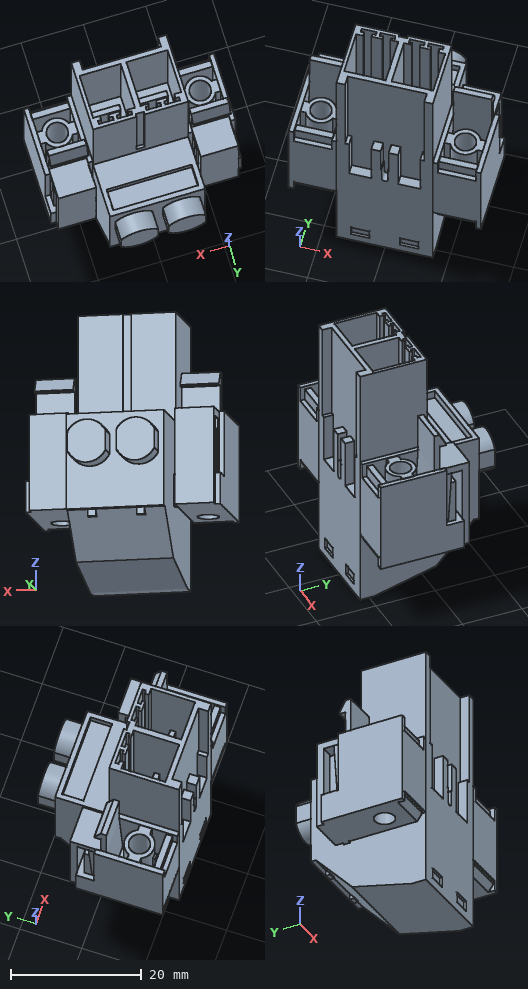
import cadquery as cq


pole_pitch = 7.63
housing_half = pole_pitch
housing_height = 41.45
plug_depth = 11.27
rear_depth = 20.0
rear_top = 24.3
rear_bottom = 9.4
shoulder_depth = 19.15
slant_depth = 12.85
slant_height = 2.6
foot_depth = 2.4

pocket_inner = 0.45
pocket_outer = 7.05
pocket_front = 2.4
pocket_back = 9.5
pocket_floor = 25.6
rib_back = 9.65
inner_back = 9.8
slot_centers = (2.32, 5.3)
slot_neck = 1.3
slot_head = 2.35
slot_head_front = 10.15
slot_head_back = 10.7
rear_notch_width = 1.33
rear_notch_depth = 0.45
rear_notch_bottom = 25.6

recess_half = 6.25
recess_depth = 1.58
recess_bottom = 25.6
coding_inner = 2.1
coding_outer = 5.65
coding_bottom = 17.82
key_width = 1.25
key_step = 20.72
key_tip_width = 1.0
window_inner = 2.4
window_outer = 5.35
window_bottom = 1.58
window_top = 3.35
window_depth = 0.4

label_half = 6.8
label_front = 15.7
label_back = 19.2
label_depth = 1.25
nub_width = 1.25
nub_front = 18.35
nub_bottom = 8.37

contact_inner = 1.55
contact_outer = 6.0
contact_front = 5.2
contact_back = 6.05
contact_height = 4.97

button_radius = 3.35
button_width = 5.95
button_back = 23.1
button_z = 19.3

overall_width = 30.45
flange_outer = overall_width / 2
flange_top = 25.6
flange_bottom = 10.5
flange_depth = 14.1
bay_inner = 8.37
bay_outer = 14.42
bay_floor = 15.4
wall_depth = 11.15
inner_wall_bottom = 12.23
front_wall_depth = 1.82
front_wall_top = 25.08
ledge_depth = 0.8
ledge_height = 23.2
chin_step = 0.2
chin_step_bottom = 11.75
chin_ramp_depth = 1.1
tab_reach = 0.4
tab_front = 12.97
screw_x = 1.5 * pole_pitch
screw_y = 5.1
boss_radius = 2.35
bore_radius = 1.65
boss_top = 25.5
web_width = 2.0
key_rib_width = 0.95
key_rib_front = 2.4
key_rib_top = 22.8

back_wall_depth = 15.3
bridge_top = 25.5
bridge_bottom = rear_top
block_back = 13.0
block_top = 22.55

arm_front = 9.4
arm_back = 10.32
foot_taper = 0.6
heel_back = 12.3
hook_top = 31.95
hook_tip_y = 11.4
hook_tip_z = 29.95
hook_bottom = 29.75


def box(x0, x1, y0, y1, z0, z1):
    """Box between two opposite corners."""
    return cq.Workplane("XY").box(x1 - x0, y1 - y0, z1 - z0, centered=False).translate((x0, y0, z0))


def extrude_profile(points, x0, x1):
    """Closed outline of (Y, Z) points, extruded along X from x0 to x1."""
    return cq.Workplane("YZ").workplane(offset=x0).polyline(points).close().extrude(x1 - x0)


def both_sides(body):
    """The body and its mirror image about the middle plane, as two separate workplanes."""
    return [body, body.mirror("YZ")]


def housing_blank():
    outline = [
        (0, 0),
        (foot_depth, 0),
        (slant_depth, slant_height),
        (shoulder_depth, rear_bottom),
        (rear_depth, rear_bottom),
        (rear_depth, rear_top),
        (plug_depth, rear_top),
        (plug_depth, housing_height),
        (0, housing_height),
    ]
    return extrude_profile(outline, -housing_half, housing_half)


def contact_pocket():
    """Contact pocket on the +X side, with two T-slots along its back wall."""
    top = housing_height
    first_slot, second_slot = slot_centers
    cut = box(pocket_inner, pocket_outer, pocket_front, pocket_back, pocket_floor, top)
    cut = cut.union(box(pocket_inner, second_slot, pocket_front, rib_back, pocket_floor, top))
    cut = cut.union(box(pocket_inner, first_slot, pocket_front, inner_back, pocket_floor, top))
    for x in slot_centers:
        neck = box(x - slot_neck / 2, x + slot_neck / 2, pocket_front, slot_head_back, pocket_floor, top)
        head = box(x - slot_head / 2, x + slot_head / 2, slot_head_front, slot_head_back, pocket_floor, top)
        cut = cut.union(neck).union(head)
    return cut


def key_slot():
    """Stepped slot in the middle of the front face, with a round lower end."""
    tip_radius = key_tip_width / 2
    tip_z = coding_bottom + tip_radius
    wide = box(-key_width / 2, key_width / 2, 0, recess_depth, key_step, recess_bottom)
    narrow = box(-tip_radius, tip_radius, 0, recess_depth, tip_z, key_step)
    tip = cq.Workplane("XZ").center(0, tip_z).circle(tip_radius).extrude(-recess_depth)
    return wide.union(narrow).union(tip)


def make_housing():
    body = housing_blank()
    body = body.cut(box(-recess_half, recess_half, 0, recess_depth, recess_bottom, housing_height))
    body = body.cut(key_slot())

    coding_slot = box(coding_inner, coding_outer, 0, recess_depth, coding_bottom, recess_bottom)
    window = box(window_inner, window_outer, 0, window_depth, window_bottom, window_top)
    for cutter in (contact_pocket(), coding_slot, window):
        for side in both_sides(cutter):
            body = body.cut(side)

    notch_half = rear_notch_width / 2
    notch_front = plug_depth - rear_notch_depth
    body = body.cut(box(-notch_half, notch_half, notch_front, plug_depth, rear_notch_bottom, housing_height))
    label_floor = rear_top - label_depth
    body = body.cut(box(-label_half, label_half, label_front, label_back, label_floor, rear_top))

    nub_x = pole_pitch / 2
    nub = box(
        nub_x - nub_width / 2, nub_x + nub_width / 2,
        nub_front, shoulder_depth, nub_bottom, rear_bottom,
    )
    for side in both_sides(nub):
        body = body.union(side)
    return body


def make_contact():
    """Flat contact blade standing on the floor of the +X pocket."""
    return box(
        contact_inner, contact_outer, contact_front, contact_back,
        pocket_floor, pocket_floor + contact_height,
    )


def make_button():
    """Round button with two vertical flats, on the back of the +X pole."""
    center_x = pole_pitch / 2
    length = button_back - rear_depth
    disc = (
        cq.Workplane("XZ", origin=(center_x, rear_depth, button_z))
        .circle(button_radius)
        .extrude(-length)
    )
    between_flats = box(
        center_x - button_width / 2, center_x + button_width / 2, rear_depth, button_back,
        button_z - button_radius, button_z + button_radius,
    )
    return disc.intersect(between_flats)


def flange_shell():
    """Floor, side walls and stepped front wall around the open bay of the +X flange."""
    floor_profile = [
        (0, inner_wall_bottom),
        (chin_step, inner_wall_bottom),
        (chin_step, chin_step_bottom),
        (chin_ramp_depth, flange_bottom),
        (flange_depth, flange_bottom),
        (flange_depth, bay_floor),
        (0, bay_floor),
    ]
    front_profile = [
        (0, bay_floor),
        (front_wall_depth, bay_floor),
        (front_wall_depth, front_wall_top),
        (ledge_depth, front_wall_top),
        (ledge_depth, ledge_height),
        (0, ledge_height),
    ]
    shell = extrude_profile(floor_profile, bay_inner, bay_outer)
    shell = shell.union(extrude_profile(front_profile, bay_inner, bay_outer))
    shell = shell.union(box(housing_half, bay_inner, 0, wall_depth, inner_wall_bottom, flange_top))
    shell = shell.union(box(bay_outer, flange_outer, 0, wall_depth, flange_bottom, flange_top))
    shell = shell.union(box(bay_outer, flange_outer, wall_depth, flange_depth, flange_bottom, bay_floor))
    tab = box(bay_inner - tab_reach, bay_inner, tab_front, flange_depth, flange_bottom, bay_floor)
    return shell.union(tab)


def back_wall():
    """Wall behind the bay with the bridge that reaches forward to the latch arm."""
    section = [
        (flange_depth, flange_bottom),
        (back_wall_depth, flange_bottom),
        (back_wall_depth, bridge_top),
        (arm_back, bridge_top),
        (arm_back, bridge_bottom),
        (flange_depth, bridge_bottom),
    ]
    return extrude_profile(section, bay_inner, bay_outer)


def latch_block():
    """Block on the bay floor that backs the heel of the latch."""
    block = box(bay_inner, bay_outer, arm_back, block_back, bay_floor, block_top)
    return block.cut(make_latch())


def screw_boss():
    """Round boss in the bay, with a web to each side wall and a small rib in front."""
    height = boss_top - bay_floor
    boss = cq.Workplane("XY", origin=(screw_x, screw_y, bay_floor)).circle(boss_radius).extrude(height)
    web = box(
        bay_inner, bay_outer, screw_y - web_width / 2, screw_y + web_width / 2, bay_floor, boss_top
    )
    rib = box(
        screw_x - key_rib_width / 2, screw_x + key_rib_width / 2,
        key_rib_front, screw_y, bay_floor, key_rib_top,
    )
    return boss.union(web).union(rib)


def make_flange():
    bore = (
        cq.Workplane("XY", origin=(screw_x, screw_y, flange_bottom))
        .circle(bore_radius)
        .extrude(flange_top - flange_bottom)
    )
    flange = flange_shell()
    for feature in (back_wall(), latch_block(), screw_boss()):
        flange = flange.union(feature)
    return flange.cut(bore)


def make_latch():
    """Hooked arm of the +X latch, standing on the bay floor with its heel under the bridge."""
    section = [
        (arm_front - foot_taper, bay_floor),
        (heel_back - foot_taper, bay_floor),
        (heel_back, bridge_bottom),
        (arm_back, bridge_bottom),
        (arm_back, hook_bottom),
        (hook_tip_y, hook_bottom),
        (hook_tip_y, hook_tip_z),
        (arm_back, hook_top),
        (arm_front, hook_top),
        (arm_front, flange_top),
    ]
    return extrude_profile(section, bay_inner, bay_outer)


housing = make_housing()
contacts = both_sides(make_contact())
buttons = both_sides(make_button())
flanges = both_sides(make_flange())
latches = both_sides(make_latch())

result = cq.Compound.makeCompound(
    [housing.val()] + [body.val() for body in contacts + buttons + flanges + latches]
)